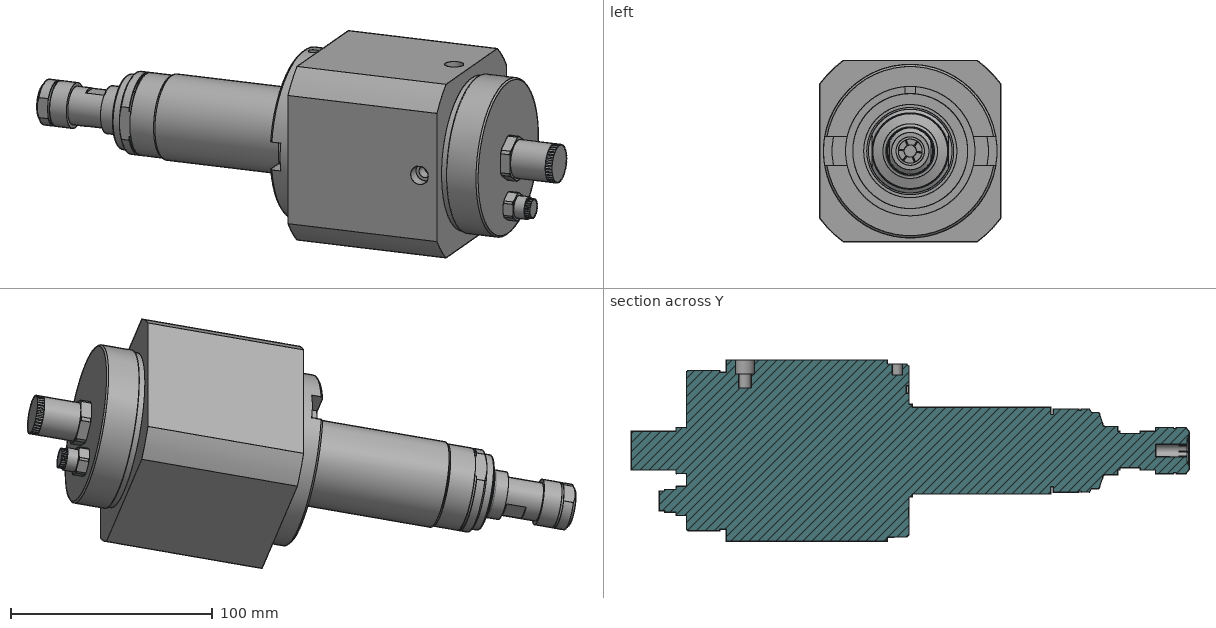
import cadquery as cq
import math


nut_diameter = 23.0
nut_length = 17.0
nut_bevel_depth = 1.7
nut_face_diameter = 18.5
nut_flats_end = 6.6
nut_across_flats = 20.5
nut_groove_end = 7.8
nut_groove_diameter = 22.1
neck_diameter = 19.5
neck_flats_start = 24.4
neck_flats_end = 34.3
neck_across_flats = 17.2

mouth_diameter = 14.0
mouth_depth = 0.5
collet_diameter = 12.0
collet_recess = 1.0
collet_bore_diameter = 6.0
collet_bore_depth = 16.5
collet_slit_count = 6
collet_slit_width = 0.5
collet_slit_depth = 4.2
collet_slit_angle = 7.0

collar_start = 35.5
collar_diameter = 24.0
flare_start = 41.8
flare_middle = (42.5, 12.5)
flare_end = (43.0, 13.5)
cone_end = (44.5, 18.5)
cap_rim_start = 45.0
cap_rim_end = 48.5
cap_rim_diameter = 38.0
cap_shoulder_start = 49.5
cap_diameter = 41.5
cap_flats_end = 54.8
cap_groove_start = 53.7
cap_groove_diameter = 40.1

seam_start = 67.5
seam_end = 68.7
seam_diameter = 36.0
barrel_diameter = 43.2
barrel_end = 137.3
barrel_collar_diameter = 46.2

flange_start = 139.0
flange_diameter = 86.0
flange_edge_bevel = 1.0
ring_outer_radius = 32.0
ring_inner_radius = 28.5
ring_depth = 0.3
key_slot_width = 14.5
key_slot_depth = 5.0
key_step_radius = 38.8
key_step_depth = 5.8
notch_width = 5.0
notch_depth = 1.5
flange_hole_diameter = 5.0
flange_hole_x = 144.8
flange_hole_depth = 5.5

body_start = 149.8
body_end = 229.8
body_width = 90.0
body_corner_diameter = 111.8
body_hole_x = 220.3
body_hole_diameter = 9.5
body_hole_depth = 7.0
body_pilot_diameter = 6.0
body_pilot_depth = 13.8

rear_neck_diameter = 78.0
cover_start = 232.8
cover_end = 249.5
cover_diameter = 79.7
cover_edge_bevel = 0.8

connector_hex_length = 5.3
main_hex_width = 20.8
main_hex_corner_diameter = 23.0
main_diameter = 19.5
main_knurl_start = 273.2
main_end = 276.8
main_knurl_count = 36
side_offset = -25.0
side_hex_width = 13.3
side_hex_corner_diameter = 14.7
side_diameter = 11.3
side_knurl_start = 260.2
side_knurl_diameter = 10.0
side_end = 263.0
side_knurl_count = 24
knurl_depth = 0.42
hex_edge_bevel = 0.3
hex_sides = 6

cutter_margin = 2.8


def rod(start, end, diameter, z=0):
    """Cylinder along X between two positions."""
    return cq.Workplane("YZ", origin=(start, 0, z)).circle(diameter / 2).extrude(end - start)


def tube(start, end, outer_diameter, inner_diameter):
    """Hollow cylinder along X."""
    return rod(start, end, outer_diameter).cut(rod(start, end, inner_diameter))


def block(start, end, width_y, width_z, y=0, z=0):
    """Box along X, centred on the given y and z."""
    plane = cq.Workplane("YZ", origin=(start, y, z))
    return plane.rect(width_y, width_z).extrude(end - start)


def flats_cutter(start, end, diameter, across_flats):
    """Material outside two flats that face +Y and -Y."""
    size = diameter + cutter_margin
    return block(start, end, size, size).cut(block(start, end, across_flats, size))


def turned_front():
    """Revolved nut, neck, collar, cap, barrel and barrel collar."""
    profile = (
        cq.Workplane("XY")
        .moveTo(0, 0)
        .lineTo(0, nut_face_diameter / 2)
        .lineTo(nut_bevel_depth, nut_diameter / 2)
        .lineTo(nut_length, nut_diameter / 2)
        .lineTo(nut_length, neck_diameter / 2)
        .lineTo(collar_start, neck_diameter / 2)
        .lineTo(collar_start, collar_diameter / 2)
        .lineTo(flare_start, collar_diameter / 2)
        .threePointArc(flare_middle, flare_end)
        .lineTo(*cone_end)
        .lineTo(cap_rim_start, cap_rim_diameter / 2)
        .lineTo(cap_rim_end, cap_rim_diameter / 2)
        .lineTo(cap_shoulder_start, cap_diameter / 2)
        .lineTo(seam_end, cap_diameter / 2)
        .lineTo(seam_end, barrel_diameter / 2)
        .lineTo(barrel_end, barrel_diameter / 2)
        .lineTo(barrel_end, barrel_collar_diameter / 2)
        .lineTo(flange_start, barrel_collar_diameter / 2)
        .lineTo(flange_start, 0)
        .close()
    )
    front = profile.revolve(360, (0, 0, 0), (1, 0, 0))
    front = front.cut(flats_cutter(0, nut_flats_end, nut_diameter, nut_across_flats))
    front = front.cut(tube(nut_flats_end, nut_groove_end, barrel_diameter, nut_groove_diameter))
    front = front.cut(flats_cutter(cap_rim_end, cap_flats_end, cap_diameter, cap_rim_diameter))
    neck_flats = flats_cutter(neck_flats_start, neck_flats_end, neck_diameter, neck_across_flats)
    front = front.cut(neck_flats.rotate((0, 0, 0), (1, 0, 0), 90))
    front = front.cut(tube(cap_groove_start, cap_flats_end, barrel_diameter, cap_groove_diameter))
    return front.cut(tube(seam_start, seam_end, barrel_diameter, seam_diameter))


def collet_cutter():
    """Stepped mouth, bore and radial slits of the collet."""
    cutter = rod(0, mouth_depth, mouth_diameter)
    cutter = cutter.union(rod(0, collet_recess, collet_diameter))
    cutter = cutter.union(rod(0, collet_bore_depth, collet_bore_diameter))
    slit_end = collet_recess + collet_slit_depth
    slit = block(0, slit_end, collet_diameter / 2, collet_slit_width, y=collet_diameter / 4)
    for index in range(collet_slit_count):
        angle = collet_slit_angle + index * 360 / collet_slit_count
        cutter = cutter.union(slit.rotate((0, 0, 0), (1, 0, 0), angle))
    return cutter


def flange():
    """Front flange with a face ring, two stepped key slots, a notch and a radial hole."""
    disc = rod(flange_start, body_start, flange_diameter).faces("<X").chamfer(flange_edge_bevel)
    ring_floor = flange_start + ring_depth
    disc = disc.cut(tube(flange_start, ring_floor, 2 * ring_outer_radius, 2 * ring_inner_radius))
    for floor_depth, inner_radius in (
        (key_slot_depth, ring_outer_radius),
        (key_step_depth, key_step_radius),
    ):
        slot_floor = flange_start + floor_depth
        slot = block(flange_start, slot_floor, flange_diameter + cutter_margin, key_slot_width)
        disc = disc.cut(slot.cut(rod(flange_start, slot_floor, 2 * inner_radius)))
    notch_height = ring_outer_radius - ring_inner_radius
    notch_z = ring_inner_radius + notch_height / 2
    disc = disc.cut(block(flange_start, flange_start + notch_depth, notch_width, notch_height, z=notch_z))
    hole = cq.Workplane("XY", origin=(flange_hole_x, 0, flange_diameter / 2))
    return disc.cut(hole.circle(flange_hole_diameter / 2).extrude(-flange_hole_depth))


def body():
    """Square body, corners turned to a common diameter, with stepped holes in -Y and +Z."""
    housing = block(body_start, body_end, body_width, body_width)
    housing = housing.intersect(rod(body_start, body_end, body_corner_diameter))
    top_hole = cq.Workplane("XY", origin=(body_hole_x, 0, body_width / 2))
    hole = top_hole.circle(body_hole_diameter / 2).extrude(-body_hole_depth)
    hole = hole.union(top_hole.circle(body_pilot_diameter / 2).extrude(-body_pilot_depth))
    return housing.cut(hole).cut(hole.rotate((0, 0, 0), (1, 0, 0), 90))


def rear_cover():
    """Short neck and round cover behind the body."""
    cover = rod(cover_start, cover_end, cover_diameter).faces(">X").chamfer(cover_edge_bevel)
    return cover.union(rod(body_end, cover_start, rear_neck_diameter))


def hex_nut(width, corner_diameter, z):
    """Hexagon with corners up and down, turned down to the corner diameter."""
    end = cover_end + connector_hex_length
    plane = cq.Workplane("YZ", origin=(cover_end, 0, z)).transformed(rotate=(0, 0, 90))
    prism = plane.polygon(hex_sides, width / math.cos(math.pi / hex_sides)).extrude(connector_hex_length)
    blank = rod(cover_end, end, corner_diameter, z).faces("|X").chamfer(hex_edge_bevel)
    return prism.intersect(blank)


def knurl(start, end, diameter, count, z):
    """Cylinder with V grooves along its length."""
    inner_radius = diameter / 2 - knurl_depth
    points = []
    for index in range(2 * count):
        radius = diameter / 2 if index % 2 == 0 else inner_radius
        angle = math.pi * index / count
        points.append((radius * math.cos(angle), radius * math.sin(angle)))
    return cq.Workplane("YZ", origin=(start, 0, z)).polyline(points).close().extrude(end - start)


def main_connector():
    """Central connector with a knurled end."""
    hexagon = hex_nut(main_hex_width, main_hex_corner_diameter, 0)
    shell = rod(cover_end, main_knurl_start, main_diameter)
    grip = knurl(main_knurl_start, main_end, main_diameter, main_knurl_count, 0)
    return hexagon.union(shell).union(grip)


def side_connector():
    """Small connector below the central one."""
    hexagon = hex_nut(side_hex_width, side_hex_corner_diameter, side_offset)
    shell = rod(cover_end, side_knurl_start, side_diameter, side_offset)
    grip = knurl(side_knurl_start, side_end, side_knurl_diameter, side_knurl_count, side_offset)
    return hexagon.union(shell).union(grip)


result = turned_front().cut(collet_cutter())
for section in (flange(), body(), rear_cover(), main_connector(), side_connector()):
    result = result.union(section)